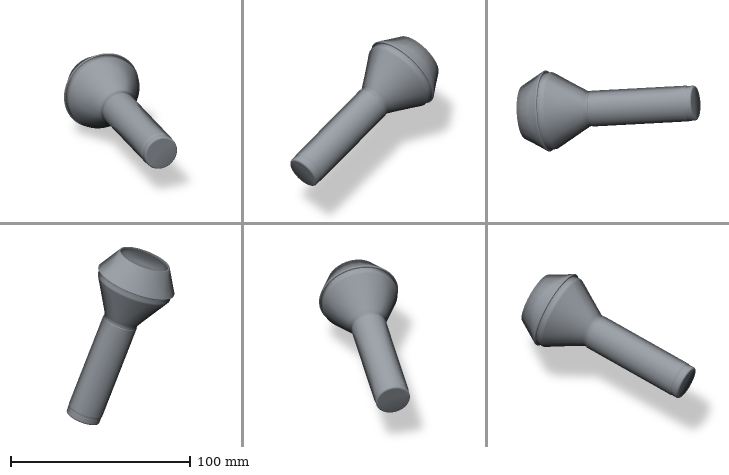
import cadquery as cq
import math

CONE_SLOPE = math.tan(math.radians(30))

cap_length = 14.0
cap_face_radius = 14.9
cap_rim_radius = cap_face_radius + cap_length * CONE_SLOPE
cap_rim_fillet = 0.5
mouth_radius = 14.3
mouth_depth = 1.2
bore_radius = 13.8

total_length = 100.0
collar_radius = 43.0 / 2
collar_fillet = 1.7
taper_start = 17.4
neck_radius = 19.5 / 2
neck_fillet = 2.6
taper_end = taper_start + (collar_radius - neck_radius) / CONE_SLOPE
shank_radius = 20.0 / 2
shank_start = 39.8
shank_end = 95.0
shank_step = shank_radius - neck_radius
tip_start = shank_end + shank_step / math.tan(math.radians(15))
tip_fillet = 1.0


def turn(outline):
    """Revolve an outline of (X, radius) points about the X axis."""
    return cq.Workplane("XY").polyline(outline).close().revolve(360, (0, 0, 0), (1, 0, 0))


def circle_at(x, radius):
    """Selector for the circular edge of the given radius at the given X."""
    margin = 0.01
    reach = radius + margin
    low_corner = (x - margin, -reach, -reach)
    high_corner = (x + margin, reach, reach)
    return cq.selectors.BoxSelector(low_corner, high_corner, boundingbox=True)


def make_cap():
    cap = turn([
        (mouth_depth, bore_radius),
        (0, mouth_radius),
        (0, cap_face_radius),
        (cap_length, cap_rim_radius),
        (cap_length, bore_radius),
    ])
    return cap.edges(circle_at(cap_length, cap_rim_radius)).fillet(cap_rim_fillet)


def make_stem():
    stem = turn([
        (mouth_depth, 0),
        (mouth_depth, bore_radius),
        (cap_length, bore_radius),
        (cap_length, collar_radius),
        (taper_start, collar_radius),
        (taper_end, neck_radius),
        (shank_start - shank_step, neck_radius),
        (shank_start, shank_radius),
        (shank_end, shank_radius),
        (tip_start, neck_radius),
        (total_length, neck_radius),
        (total_length, 0),
    ])
    stem = stem.edges(circle_at(taper_start, collar_radius)).fillet(collar_fillet)
    stem = stem.edges(circle_at(taper_end, neck_radius)).fillet(neck_fillet)
    return stem.edges(circle_at(total_length, neck_radius)).fillet(tip_fillet)


cap = make_cap()
stem = make_stem()
result = cq.Compound.makeCompound([cap.val(), stem.val()])